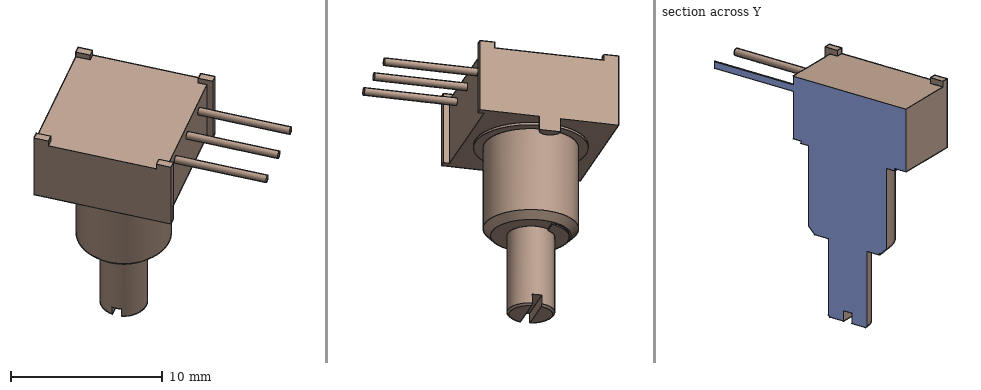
import cadquery as cq


total_length_x = 15.49
total_height = 17.21

housing_side = 9.53
housing_height = 5.0
axis_to_left_face = 4.72
foot_height = 0.41
foot_length = 1.02
foot_width = 0.52
terminal_recess_depth = 0.41

pin_diameter = 0.52
pin_pitch = 2.53
pin_drop = 1.29
pin_embed = 0.35

washer_radius = 3.8
washer_thickness = 0.17
bushing_radius = 3.17
bushing_length = 6.52
bushing_chamfer = 0.5
clip_radius = 2.55
clip_thickness = 0.1
clip_edge_x = -0.8

shaft_radius = 1.58
shaft_chamfer = 0.14
slot_width = 0.65
slot_depth = 0.75

peg_radius = 0.72
peg_length = 0.95

left_x = -axis_to_left_face
right_x = left_x + housing_side
pin_end_x = left_x + total_length_x
half_side = housing_side / 2
shaft_length = total_height - housing_height


def box(x_min, x_max, y_min, y_max, z_min, z_max):
    size = (x_max - x_min, y_max - y_min, z_max - z_min)
    return cq.Workplane("XY").box(*size, centered=False).translate((x_min, y_min, z_min))


def hanging_cylinder(radius, length):
    """Cylinder on the shaft axis, reaching down from the housing underside."""
    return cq.Workplane("XY").circle(radius).extrude(-length)


def make_housing():
    top_z = housing_height - foot_height
    inner_half = half_side - foot_width
    housing = box(left_x, right_x, -half_side, half_side, 0, top_z)
    for foot_x in (left_x, right_x - foot_length):
        for foot_y in (-half_side, inner_half):
            foot = box(foot_x, foot_x + foot_length, foot_y, foot_y + foot_width, 0, housing_height)
            housing = housing.union(foot)
    recess = box(right_x - terminal_recess_depth, right_x, -inner_half, inner_half, 0, housing_height)
    return housing.cut(recess)


def make_pin(y):
    start_x = right_x - terminal_recess_depth - pin_embed
    pin = cq.Workplane("YZ").circle(pin_diameter / 2).extrude(pin_end_x - start_x)
    return pin.translate((start_x, y, housing_height - pin_drop))


def make_bushing():
    bushing = hanging_cylinder(bushing_radius, bushing_length)
    return bushing.faces("<Z").chamfer(bushing_chamfer)


def make_clip():
    """Thin circular segment on the end of the bushing."""
    bottom_z = -bushing_length - clip_thickness
    disc = hanging_cylinder(clip_radius, bushing_length + clip_thickness)
    segment = box(-clip_radius, clip_edge_x, -clip_radius, clip_radius, bottom_z, -bushing_length)
    return disc.intersect(segment)


def make_shaft():
    shaft = hanging_cylinder(shaft_radius, shaft_length).faces("<Z").chamfer(shaft_chamfer)
    slot = box(-slot_width / 2, slot_width / 2, -shaft_radius, shaft_radius,
               -shaft_length, -shaft_length + slot_depth)
    return shaft.cut(slot)


def make_peg():
    """Half-round peg whose flat is flush with the +Y face of the housing."""
    peg = hanging_cylinder(peg_radius, peg_length).translate((0, half_side, 0))
    inner_half = box(-peg_radius, peg_radius, half_side - peg_radius, half_side, -peg_length, 0)
    return peg.intersect(inner_half)


result = make_housing()
for pin_y in (-pin_pitch, 0, pin_pitch):
    result = result.union(make_pin(pin_y))
result = result.union(hanging_cylinder(washer_radius, washer_thickness))
result = result.union(make_bushing())
result = result.union(make_clip())
result = result.union(make_shaft())
result = result.union(make_peg())